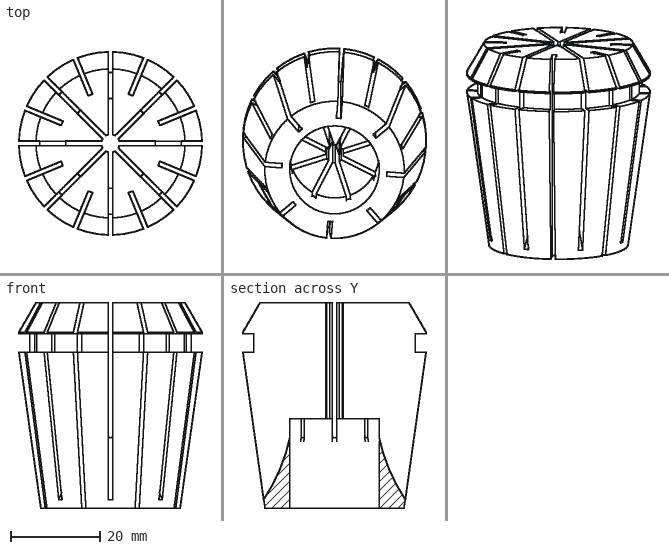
import cadquery as cq
import math


LENGTH = 46.0
MAX_RADIUS = 20.5
BODY_HEIGHT = 34.9
BODY_HALF_ANGLE = 8.0
GROOVE_RADIUS = 18.1
GROOVE_HEIGHT = 4.1
RIM_HEIGHT = 0.35
NOSE_HALF_ANGLE = 30.0

GRIP_RADIUS = 2.0
RELIEF_RADIUS = 10.0
RELIEF_DEPTH = 20.0

SLOT_WIDTH = 1.0
SLOTS_PER_SET = 8
SLOT_PITCH = 360.0 / SLOTS_PER_SET
SHALLOW_SLOT_INNER_RADIUS = 11.75
SAW_RADIUS = 40.0
SLOT_FLOOR_BOTTOM = 1.95
SLOT_FLOOR_TOP = 15.8

CUT_CLEARANCE = 1.0
FLOOR_OVERRUN = 0.2
SLOT_REACH = MAX_RADIUS + CUT_CLEARANCE


def body_radius(height):
    """Radius of the clamping cone at a height above the small end."""
    return MAX_RADIUS - (BODY_HEIGHT - height) * math.tan(math.radians(BODY_HALF_ANGLE))


def make_blank():
    """Solid of revolution: clamping cone, extraction groove and nose cone."""
    rim_bottom = BODY_HEIGHT + GROOVE_HEIGHT
    rim_top = rim_bottom + RIM_HEIGHT
    nose_radius = MAX_RADIUS - (LENGTH - rim_top) * math.tan(math.radians(NOSE_HALF_ANGLE))
    outline = [
        (0, 0),
        (body_radius(0), 0),
        (MAX_RADIUS, BODY_HEIGHT),
        (GROOVE_RADIUS, BODY_HEIGHT),
        (GROOVE_RADIUS, rim_bottom),
        (MAX_RADIUS, rim_bottom),
        (MAX_RADIUS, rim_top),
        (nose_radius, LENGTH),
        (0, LENGTH),
    ]
    return cq.Workplane("XZ").polyline(outline).close().revolve(360, (0, 0), (0, 1))


def make_bore():
    """Narrow gripping bore right through, with the wide relief bore at the small end."""
    grip = cq.Workplane("XY").circle(GRIP_RADIUS).extrude(LENGTH)
    relief = cq.Workplane("XY").circle(RELIEF_RADIUS).extrude(RELIEF_DEPTH)
    return grip.union(relief)


def saw_center():
    """Radius and height of the saw centre that sets the deep slot floor."""
    outer_radius = body_radius(SLOT_FLOOR_BOTTOM)
    run = outer_radius - RELIEF_RADIUS
    rise = SLOT_FLOOR_TOP - SLOT_FLOOR_BOTTOM
    chord = math.hypot(run, rise)
    offset = math.sqrt(SAW_RADIUS**2 - (chord / 2) ** 2)
    center_radius = (outer_radius + RELIEF_RADIUS) / 2 + offset * rise / chord
    center_height = (SLOT_FLOOR_BOTTOM + SLOT_FLOOR_TOP) / 2 + offset * run / chord
    return center_radius, center_height


def saw_floor_point(radius):
    """Point of the saw-curved floor at a distance from the axis."""
    center_radius, center_height = saw_center()
    return radius, center_height - math.sqrt(SAW_RADIUS**2 - (center_radius - radius) ** 2)


def make_deep_slot():
    """Slot from the nose to the bore, with a saw-curved floor that stops above the small end."""
    inner_radius = RELIEF_RADIUS - FLOOR_OVERRUN
    middle_radius = (inner_radius + SLOT_REACH) / 2
    floor_end = saw_floor_point(inner_radius)
    return (
        cq.Workplane("XZ")
        .moveTo(*saw_floor_point(SLOT_REACH))
        .threePointArc(saw_floor_point(middle_radius), floor_end)
        .lineTo(0, floor_end[1])
        .lineTo(0, LENGTH + CUT_CLEARANCE)
        .lineTo(SLOT_REACH, LENGTH + CUT_CLEARANCE)
        .close()
        .extrude(SLOT_WIDTH / 2, both=True)
    )


def make_shallow_slot():
    """Full-length slot that stops short of the bore."""
    depth = SLOT_REACH - SHALLOW_SLOT_INNER_RADIUS
    height = LENGTH + 2 * CUT_CLEARANCE
    slot = cq.Workplane("XY").box(depth, SLOT_WIDTH, height, centered=(False, True, False))
    return slot.translate((SHALLOW_SLOT_INNER_RADIUS, 0, -CUT_CLEARANCE))


def cut_slot_set(part, slot, first_angle):
    """Cut one evenly spaced ring of slots."""
    for index in range(SLOTS_PER_SET):
        angle = first_angle + index * SLOT_PITCH
        part = part.cut(slot.rotate((0, 0, 0), (0, 0, 1), angle))
    return part


collet = make_blank().cut(make_bore())
collet = cut_slot_set(collet, make_deep_slot(), 0)
collet = cut_slot_set(collet, make_shallow_slot(), SLOT_PITCH / 2)
result = collet